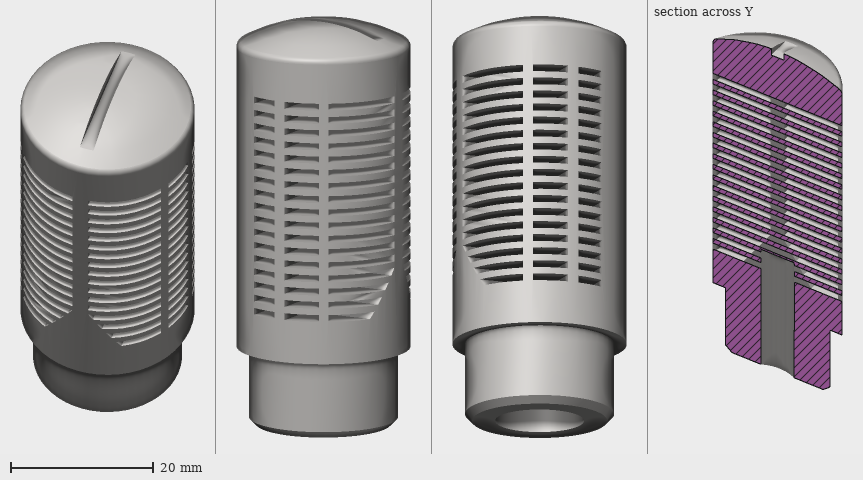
import cadquery as cq
import math

height = 57.95
body_radius = 24.5 / 2
neck_radius = 20.95 / 2
neck_height = 11.1
neck_chamfer = 1.0

dome_radius = 25.0
rim_radius = 1.0
driver_slot_width = 2.0
driver_slot_floor = 56.15

bore_radius = 6.25
bore_depth = 20.55

vent_count = 17
vent_height = 1.0
vent_bottom = 17.2
vent_top = 48.55
vent_pitch = (vent_top - vent_bottom - vent_height) / (vent_count - 1)
rib_half_thickness = 0.8
rear_vent_back = 4.7
side_vent_front = -5.6
front_vent_half_width = 10.2

fin_half_width = 1.15
fin_foot_half_width = 5.7
fin_flare_rows = 4


def make_body():
    """Revolve the neck, body and domed cap about Z."""
    dome_center = height - math.sqrt(dome_radius**2 - (driver_slot_width / 2) ** 2)
    dome_apex = dome_center + dome_radius
    rim_center_r = body_radius - rim_radius
    rim_center_z = dome_center + math.sqrt((dome_radius - rim_radius) ** 2 - rim_center_r ** 2)
    tilt = math.atan2(rim_center_r, rim_center_z - dome_center)
    rim_top = (dome_radius * math.sin(tilt), dome_center + dome_radius * math.cos(tilt))
    dome_mid = (dome_radius * math.sin(tilt / 2), dome_center + dome_radius * math.cos(tilt / 2))
    rim_angle = (tilt + math.pi / 2) / 2
    rim_mid = (
        rim_center_r + rim_radius * math.sin(rim_angle),
        rim_center_z + rim_radius * math.cos(rim_angle),
    )
    return (
        cq.Workplane("XZ")
        .moveTo(0, 0)
        .lineTo(neck_radius - neck_chamfer, 0)
        .lineTo(neck_radius, neck_chamfer)
        .lineTo(neck_radius, neck_height)
        .lineTo(body_radius, neck_height)
        .lineTo(body_radius, rim_center_z)
        .threePointArc(rim_mid, rim_top)
        .threePointArc(dome_mid, (0, dome_apex))
        .close()
        .revolve(360, (0, 0, 0), (0, 1, 0))
    )


def box_between(x_range, y_range, z_range):
    """Axis-aligned box given by its limits along X, Y and Z."""
    (x0, x1), (y0, y1), (z0, z1) = x_range, y_range, z_range
    return cq.Workplane("XY").box(x1 - x0, y1 - y0, z1 - z0, centered=False).translate((x0, y0, z0))


def make_fin():
    """Upright fin at the front, widening linearly over the lowest vent rows."""
    flare_top = vent_bottom + (fin_flare_rows - 1) * vent_pitch + vent_height
    return (
        cq.Workplane("XZ", origin=(0, side_vent_front, 0))
        .moveTo(-fin_foot_half_width, vent_bottom)
        .lineTo(-fin_half_width, flare_top)
        .lineTo(-fin_half_width, vent_top)
        .lineTo(fin_half_width, vent_top)
        .lineTo(fin_half_width, flare_top)
        .lineTo(fin_foot_half_width, vent_bottom)
        .close()
        .extrude(body_radius)
    )


def make_vents():
    """Vents of every row: two pass through along X, the forward one also opens to the front."""
    across = (-body_radius, body_radius)
    front = (-front_vent_half_width, front_vent_half_width)
    fin = make_fin()
    vents = cq.Workplane("XY")
    for row in range(vent_count):
        z_bottom = vent_bottom + row * vent_pitch
        z_range = (z_bottom, z_bottom + vent_height)
        vents.add(box_between(across, (rib_half_thickness, rear_vent_back), z_range))
        side_vent = box_between(across, (side_vent_front, -rib_half_thickness), z_range)
        front_vent = box_between(front, (-body_radius, side_vent_front), z_range)
        vents.add(side_vent.union(front_vent.cut(fin)))
    return cq.Workplane(cq.Compound.makeCompound(vents.vals()))


driver_slot = box_between(
    (-driver_slot_width / 2, driver_slot_width / 2),
    (-body_radius, body_radius),
    (driver_slot_floor, driver_slot_floor + body_radius),
)
bore = cq.Workplane("XY").circle(bore_radius).extrude(bore_depth)

result = make_body().cut(driver_slot).cut(make_vents()).cut(bore)